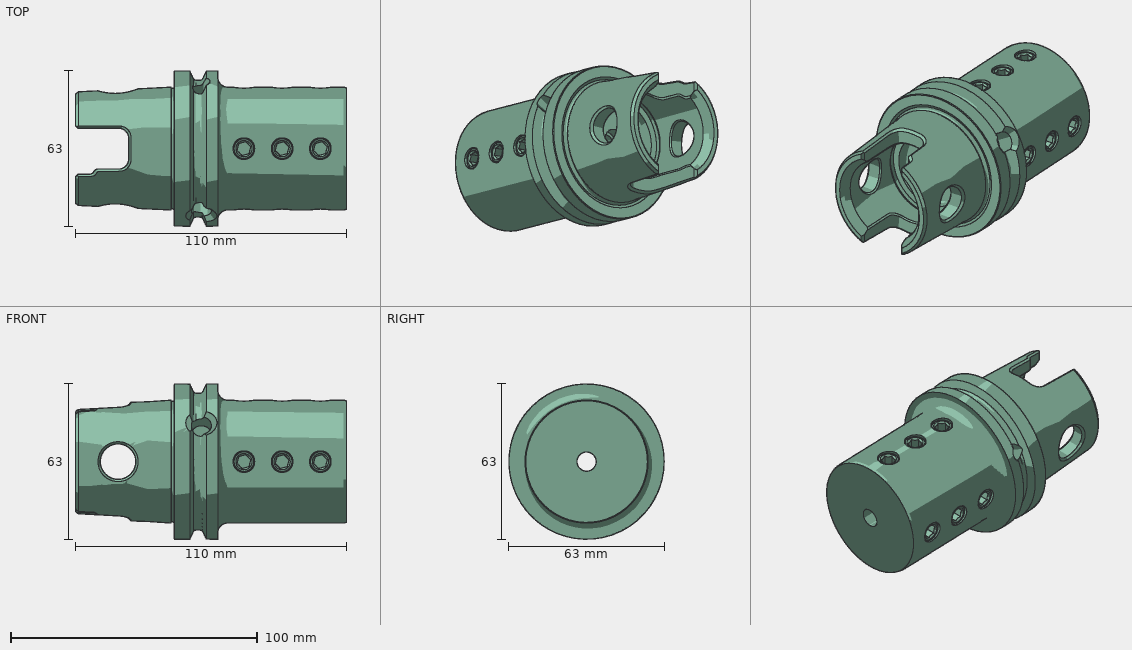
import cadquery as cq
import math

LENGTH = 110.0
FLANGE_RADIUS = 31.5
BODY_RADIUS = 25.0

TAPER_END_X = 38.7
TAPER_END_RADIUS = 25.0
TAPER_RADIUS_RATE = 0.05
TIP_CHAMFER_LENGTH = 1.2
TIP_CHAMFER_DEPTH = 0.82

RELIEF_DEPTH = 0.5
FACE_X = 39.9
RECESS_OUTER_RADIUS = 26.9
RECESS_INNER_RADIUS = 25.8
RECESS_DEPTH = 0.4

FLANGE_END_X = 57.7
FLANGE_CHAMFER = 0.3
GROOVE_CENTER_X = 49.7
GROOVE_MOUTH_WIDTH = 6.7
GROOVE_FLOOR_WIDTH = 1.8
GROOVE_FLOOR_RADIUS = 27.8
GROOVE_FLANK_ANGLE = 30.0
GROOVE_FILLET = 1.15

BODY_FILLET = 4.0
BODY_CHAMFER_LENGTH = 1.1
BODY_CHAMFER_DEPTH = 0.3

CAVITY_MOUTH_RADIUS = 20.1
CAVITY_LEAD_RADIUS = 18.8
CAVITY_RADIUS = 17.5
LEAD_CONE_LENGTH = 2.3
CLAMP_GROOVE_X = 30.8
CLAMP_GROOVE_RADIUS = 18.3
CLAMP_GROOVE_RAMP = 1.3
CAVITY_SHOULDER_X = 34.1
CAVITY_INNER_RADIUS = 15.5
CAVITY_FLOOR_X = 38.7
CAVITY_FILLET = 1.3
BORE_RADIUS = 3.8
BORE_MOUTH_RADIUS = 5.2
BORE_MOUTH_DEPTH = 5.5

SLOT_HALF_WIDTH = 8.2
SLOT_END_X = 21.5
SLOT_CORNER_RADIUS = 4.1
SLOT_MOUTH_CHAMFER = 1.0
SLOT_WIDE_HALF_WIDTH = 10.3
SLOT_WIDE_END_X = 5.8
SLOT_NARROW_START_X = 9.0

CROSS_HOLE_X = 17.3
CROSS_HOLE_RADIUS = 7.1

OUTER_EDGE_CHAMFER = 1.0
INNER_EDGE_CHAMFER = 0.5
EDGE_MARGIN = 0.1

FLANGE_HOLE_X = 51.0
FLANGE_HOLE_ANGLE = 30.0
FLANGE_HOLE_BOTTOM = 22.0
DRILL_POINT_HALF_ANGLE = 59.0
FRONT_HOLE_RADIUS = 4.1
REAR_HOLE_RADIUS = 3.5
COUNTERSINK_START = 29.2
COUNTERSINK_HALF_ANGLE = 45.0

SCREW_ROW_ANGLES = (90, 0, -90)
SCREW_FIRST_X = 68.3
SCREW_PITCH = 15.5
SCREWS_PER_ROW = 3
SCREW_RADIUS = 4.4
SCREW_TOP = 24.2
SCREW_LENGTH = 9.9
SCREW_CHAMFER = 0.4
SOCKET_ACROSS_FLATS = 5.0
SOCKET_DEPTH = 4.4
SOCKET_MOUTH_RADIUS = 3.3
SOCKET_TURN = 15.0


def taper_radius(x):
    return TAPER_END_RADIUS - TAPER_RADIUS_RATE * (TAPER_END_X - x)


def cavity_radius(x):
    """Radius of the cavity wall between its lead-in cones and the clamping groove."""
    return CAVITY_RADIUS


def make_outer_shape():
    """Taper, flange and body turned about X."""
    relief_radius = TAPER_END_RADIUS - RELIEF_DEPTH
    relief_fillet = RECESS_INNER_RADIUS - relief_radius
    relief_mid = relief_fillet * (1 - math.sqrt(0.5))
    recess_x = FACE_X + RECESS_DEPTH
    fillet_mid = BODY_FILLET * (1 - math.sqrt(0.5))
    profile = (
        cq.Workplane("XY")
        .moveTo(0, 0)
        .lineTo(0, taper_radius(0) - TIP_CHAMFER_DEPTH)
        .lineTo(TIP_CHAMFER_LENGTH, taper_radius(TIP_CHAMFER_LENGTH))
        .lineTo(TAPER_END_X, TAPER_END_RADIUS)
        .lineTo(recess_x - relief_fillet, relief_radius)
        .threePointArc(
            (recess_x - relief_mid, relief_radius + relief_mid),
            (recess_x, RECESS_INNER_RADIUS),
        )
        .lineTo(FACE_X, RECESS_OUTER_RADIUS)
        .lineTo(FACE_X, FLANGE_RADIUS - FLANGE_CHAMFER)
        .lineTo(FACE_X + FLANGE_CHAMFER, FLANGE_RADIUS)
        .lineTo(FLANGE_END_X, FLANGE_RADIUS)
        .lineTo(FLANGE_END_X, BODY_RADIUS + BODY_FILLET)
        .threePointArc(
            (FLANGE_END_X + fillet_mid, BODY_RADIUS + fillet_mid),
            (FLANGE_END_X + BODY_FILLET, BODY_RADIUS),
        )
        .lineTo(LENGTH - BODY_CHAMFER_LENGTH, BODY_RADIUS)
        .lineTo(LENGTH, BODY_RADIUS - BODY_CHAMFER_DEPTH)
        .lineTo(LENGTH, 0)
        .close()
    )
    return profile.revolve(360, (0, 0, 0), (1, 0, 0))


def make_groove():
    """Ring that cuts the V groove, with its floor corners rounded."""
    flank = math.radians(GROOVE_FLANK_ANGLE)
    half_mouth = GROOVE_MOUTH_WIDTH / 2
    half_floor = GROOVE_FLOOR_WIDTH / 2
    arc_center_radius = GROOVE_FLOOR_RADIUS + GROOVE_FILLET

    def arc_point(side, turn):
        x = GROOVE_CENTER_X + side * (half_floor + GROOVE_FILLET * math.sin(turn))
        return (x, arc_center_radius - GROOVE_FILLET * math.cos(turn))

    full_turn = math.pi / 2 - flank
    profile = (
        cq.Workplane("XY")
        .moveTo(GROOVE_CENTER_X - half_mouth, FLANGE_RADIUS)
        .lineTo(*arc_point(-1, full_turn))
        .threePointArc(arc_point(-1, full_turn / 2), arc_point(-1, 0))
        .lineTo(*arc_point(1, 0))
        .threePointArc(arc_point(1, full_turn / 2), arc_point(1, full_turn))
        .lineTo(GROOVE_CENTER_X + half_mouth, FLANGE_RADIUS)
        .close()
    )
    return profile.revolve(360, (0, 0, 0), (1, 0, 0))


def make_cavity():
    """Stepped cavity in the taper end and the bore along the whole axis."""
    lead_x = CAVITY_MOUTH_RADIUS - CAVITY_LEAD_RADIUS
    fillet_mid = CAVITY_FILLET * (1 - math.sqrt(0.5))
    profile = (
        cq.Workplane("XY")
        .moveTo(0, 0)
        .lineTo(0, CAVITY_MOUTH_RADIUS)
        .lineTo(lead_x, CAVITY_LEAD_RADIUS)
        .lineTo(lead_x + LEAD_CONE_LENGTH, CAVITY_RADIUS)
        .lineTo(CLAMP_GROOVE_X, CAVITY_RADIUS)
        .lineTo(CLAMP_GROOVE_X + CLAMP_GROOVE_RAMP, CLAMP_GROOVE_RADIUS)
        .lineTo(CAVITY_SHOULDER_X, CLAMP_GROOVE_RADIUS)
        .lineTo(CAVITY_SHOULDER_X, CAVITY_INNER_RADIUS)
        .lineTo(CAVITY_FLOOR_X - CAVITY_FILLET, CAVITY_INNER_RADIUS)
        .threePointArc(
            (CAVITY_FLOOR_X - fillet_mid, CAVITY_INNER_RADIUS - fillet_mid),
            (CAVITY_FLOOR_X, CAVITY_INNER_RADIUS - CAVITY_FILLET),
        )
        .lineTo(CAVITY_FLOOR_X, BORE_MOUTH_RADIUS)
        .lineTo(CAVITY_FLOOR_X + BORE_MOUTH_DEPTH, BORE_MOUTH_RADIUS)
        .lineTo(CAVITY_FLOOR_X + BORE_MOUTH_DEPTH, BORE_RADIUS)
        .lineTo(LENGTH, BORE_RADIUS)
        .lineTo(LENGTH, 0)
        .close()
    )
    return profile.revolve(360, (0, 0, 0), (1, 0, 0))


def make_slots():
    """Both drive slots: one outline cut through the taper along Z, wider at its mouth on the -Y side."""
    corner_mid = SLOT_CORNER_RADIUS * (1 - math.sqrt(0.5))
    corner_x = SLOT_END_X - SLOT_CORNER_RADIUS
    corner_y = SLOT_HALF_WIDTH - SLOT_CORNER_RADIUS
    step_tangent = SLOT_NARROW_START_X - SLOT_WIDE_END_X
    outline = (
        cq.Workplane("XY")
        .moveTo(0, SLOT_HALF_WIDTH + SLOT_MOUTH_CHAMFER)
        .lineTo(SLOT_MOUTH_CHAMFER, SLOT_HALF_WIDTH)
        .lineTo(corner_x, SLOT_HALF_WIDTH)
        .threePointArc((SLOT_END_X - corner_mid, SLOT_HALF_WIDTH - corner_mid), (SLOT_END_X, corner_y))
        .lineTo(SLOT_END_X, -corner_y)
        .threePointArc((SLOT_END_X - corner_mid, corner_mid - SLOT_HALF_WIDTH), (corner_x, -SLOT_HALF_WIDTH))
        .lineTo(SLOT_NARROW_START_X, -SLOT_HALF_WIDTH)
        .spline(
            [(SLOT_WIDE_END_X, -SLOT_WIDE_HALF_WIDTH)],
            tangents=[(-step_tangent, 0), (-step_tangent, 0)],
            includeCurrent=True,
        )
        .lineTo(SLOT_MOUTH_CHAMFER, -SLOT_WIDE_HALF_WIDTH)
        .lineTo(0, -SLOT_WIDE_HALF_WIDTH - SLOT_MOUTH_CHAMFER)
        .close()
    )
    return outline.extrude(FLANGE_RADIUS, both=True)


def make_cross_hole():
    """Round hole through both walls of the taper along Y."""
    return (
        cq.Workplane("XZ", origin=(CROSS_HOLE_X, 0, 0))
        .circle(CROSS_HOLE_RADIUS)
        .extrude(FLANGE_RADIUS, both=True)
    )


def make_flange_hole(radius, x_turn, countersunk):
    """Blind hole cutter at the flange groove, drill-pointed, turned about X from +Z."""
    profile = (
        cq.Workplane("XZ", origin=(FLANGE_HOLE_X, 0, 0))
        .moveTo(0, FLANGE_HOLE_BOTTOM - radius / math.tan(math.radians(DRILL_POINT_HALF_ANGLE)))
        .lineTo(radius, FLANGE_HOLE_BOTTOM)
    )
    top = FLANGE_RADIUS + 1.1
    if countersunk:
        spread = (top - COUNTERSINK_START) * math.tan(math.radians(COUNTERSINK_HALF_ANGLE))
        profile = profile.lineTo(radius, COUNTERSINK_START).lineTo(radius + spread, top)
    else:
        profile = profile.lineTo(radius, top)
    cutter = profile.lineTo(0, top).close().revolve(360, (0, 0, 0), (0, 1, 0))
    return cutter.rotate((0, 0, 0), (1, 0, 0), x_turn)


def shank_rim(housing, radius_at, axis, reach):
    """Edges where the openings along Y or Z cut the turned surface that has radius_at(x) at x."""
    tolerance = 0.03
    rim = []
    for edge in housing.edges().vals():
        box = edge.BoundingBox()
        middle = edge.positionAt(0.5)
        height, sideways = (middle.y, middle.z) if axis == "Y" else (middle.z, middle.y)
        on_surface = abs(math.hypot(middle.y, middle.z) - radius_at(middle.x)) < tolerance
        in_reach = reach[0] < box.xmin and box.xmax < reach[1]
        if on_surface and in_reach and abs(height) > abs(sideways):
            rim.append(edge)
    return rim


def chamfer_openings(housing):
    """Bevel the drive slots and the cross hole where they meet the taper and the cavity wall."""
    openings = (
        ("Z", (TIP_CHAMFER_LENGTH - EDGE_MARGIN, SLOT_END_X + EDGE_MARGIN)),
        (
            "Y",
            (
                CROSS_HOLE_X - CROSS_HOLE_RADIUS - EDGE_MARGIN,
                CROSS_HOLE_X + CROSS_HOLE_RADIUS + EDGE_MARGIN,
            ),
        ),
    )
    for axis, reach in openings:
        outer_rim = shank_rim(housing, taper_radius, axis, reach)
        housing = housing.newObject(outer_rim).chamfer(OUTER_EDGE_CHAMFER)
        inner_rim = shank_rim(housing, cavity_radius, axis, reach)
        housing = housing.newObject(inner_rim).chamfer(INNER_EDGE_CHAMFER)
    return housing


def make_housing(screw_pockets):
    housing = make_outer_shape().cut(make_groove()).cut(make_cavity())
    housing = housing.cut(make_slots()).cut(make_cross_hole())
    housing = chamfer_openings(housing)
    tilt = 90 - FLANGE_HOLE_ANGLE
    housing = housing.cut(make_flange_hole(FRONT_HOLE_RADIUS, tilt, True))
    housing = housing.cut(make_flange_hole(REAR_HOLE_RADIUS, -tilt, False))
    for pocket in screw_pockets:
        housing = housing.cut(pocket)
    return housing


def make_screw_pocket():
    """Blind hole for one set screw along +Z, open through the body surface."""
    return (
        cq.Workplane("XY", origin=(0, 0, SCREW_TOP - SCREW_LENGTH))
        .circle(SCREW_RADIUS)
        .extrude(BODY_RADIUS - SCREW_TOP + SCREW_LENGTH + 1.1)
    )


def make_set_screw():
    """Headless screw along +Z with a bevelled top and a countersunk hexagon socket."""
    socket_radius = SOCKET_ACROSS_FLATS / math.sqrt(3)
    screw = (
        cq.Workplane("XY", origin=(0, 0, SCREW_TOP - SCREW_LENGTH))
        .circle(SCREW_RADIUS)
        .extrude(SCREW_LENGTH)
        .faces(">Z")
        .chamfer(SCREW_CHAMFER)
    )
    socket = (
        cq.Workplane("XY", origin=(0, 0, SCREW_TOP - SOCKET_DEPTH))
        .polygon(6, 2 * socket_radius)
        .extrude(SOCKET_DEPTH)
        .rotate((0, 0, 0), (0, 0, 1), SOCKET_TURN)
    )
    countersink = cq.Workplane(
        cq.Solid.makeCone(
            0,
            SOCKET_MOUTH_RADIUS,
            SOCKET_MOUTH_RADIUS,
            pnt=cq.Vector(0, 0, SCREW_TOP - SOCKET_MOUTH_RADIUS),
        )
    )
    return screw.cut(socket).cut(countersink)


def place_in_rows(shape):
    """Copies of a part along +Z at every screw place: rows on the -Y, +Z and +Y sides."""
    copies = []
    for angle in SCREW_ROW_ANGLES:
        turned = shape.rotate((0, 0, 0), (1, 0, 0), angle)
        for index in range(SCREWS_PER_ROW):
            copies.append(turned.translate((SCREW_FIRST_X + index * SCREW_PITCH, 0, 0)))
    return copies


housing = make_housing(place_in_rows(make_screw_pocket()))
set_screws = place_in_rows(make_set_screw())

result = cq.Compound.makeCompound([housing.val()] + [screw.val() for screw in set_screws])